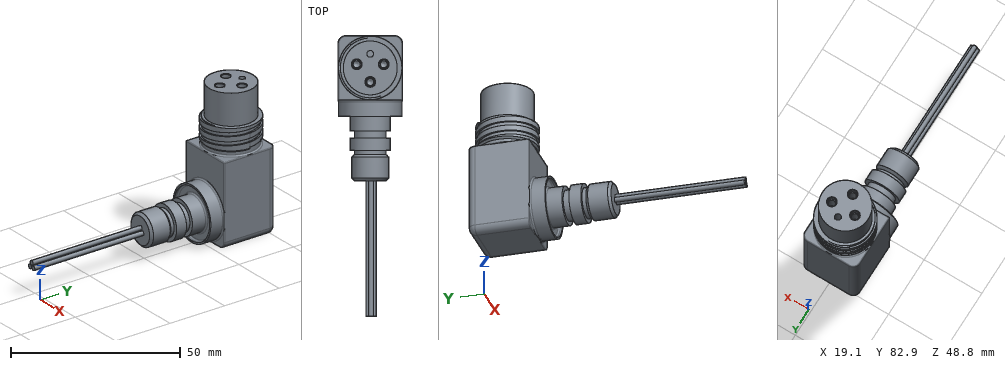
import cadquery as cq
import math


block_size = 19.05
block_height = 28.5
block_round = 2.3
block_edge_round = 0.25
half_block = block_size / 2

total_height = 48.8
thread_diameter = 18.8
thread_root_diameter = 17.65
thread_top = 37.95
thread_bottom = 30.0
thread_pitch = 3.0
thread_groove_width = 1.3
thread_start_height = 30.2
barrel_diameter = 15.9
base_fillet = 0.5

socket_circle_radius = 4.15
socket_angles = (15, 165, 270)
socket_mouth_diameter = 3.15
socket_diameter = 2.7
socket_depth = 1.65
contact_diameter = 2.1
contact_depth = 6.6
drill_tip_angle = 118
key_diameter = 2.0
key_depth = 6.6

exit_height = half_block
flange_diameter = 18.8
flange_length = 4.8
recess_diameter = 17.65
recess_depth = 1.1
recess_fillet = 0.5
neck_diameter = 11.9
neck_groove_diameter = 9.4
tip_diameter = 11.0
tip_chamfer = 0.8
neck_length = 4.2
neck_groove_length = 2.15
band_length = 3.65
rear_groove_length = 1.2
gland_length = 23.8

wire_diameter = 1.5
wire_spacing = 1.65
wire_offset = 0.25
total_length = 82.85
overlap = 0.8


def make_block():
    block = cq.Workplane("XY").box(block_size, block_size, block_height, centered=(True, True, False))
    block = block.edges("(>Y and |Z) or (<Z and |Y) or (<Z and >Y)").fillet(block_round)
    return block.faces(">Z or <Y").edges().fillet(block_edge_round)


def make_barrel():
    """Threaded collar with a filleted foot, carrying the plain barrel."""
    root_radius = thread_root_diameter / 2
    profile = (
        cq.Workplane("XZ")
        .moveTo(0, block_height - overlap)
        .lineTo(root_radius + base_fillet, block_height - overlap)
        .lineTo(root_radius + base_fillet, block_height)
        .radiusArc((root_radius, block_height + base_fillet), base_fillet)
        .lineTo(root_radius, thread_top)
        .lineTo(barrel_diameter / 2, thread_top)
        .lineTo(barrel_diameter / 2, total_height)
        .lineTo(0, total_height)
        .close()
    )
    core = profile.revolve(360, (0, 0, 0), (0, 1, 0))
    return core.union(make_thread())


def make_thread():
    """Right-handed thread: a ring, bevelled below, cut by a helical groove deeper than the thread root."""
    root_radius = thread_root_diameter / 2
    crest_radius = thread_diameter / 2
    inner_radius = root_radius - 2 * overlap
    ring_profile = (
        cq.Workplane("XZ")
        .moveTo(inner_radius, thread_bottom)
        .lineTo(root_radius, thread_bottom)
        .lineTo(crest_radius, thread_bottom + crest_radius - root_radius)
        .lineTo(crest_radius, thread_top)
        .lineTo(inner_radius, thread_top)
        .close()
    )
    ring = ring_profile.revolve(360, (0, 0, 0), (0, 1, 0))
    groove_floor = root_radius - overlap
    groove_depth = crest_radius + overlap - groove_floor
    helix = cq.Wire.makeHelix(thread_pitch, thread_pitch, groove_floor)
    groove_turn = (
        cq.Workplane("XZ")
        .center(groove_floor + groove_depth / 2, 0)
        .rect(groove_depth, thread_groove_width)
        .sweep(cq.Workplane(helix), isFrenet=True)
    )
    turns = math.ceil((thread_top + thread_groove_width - thread_start_height) / thread_pitch)
    for turn in range(turns):
        ring = ring.cut(groove_turn.translate((0, 0, thread_start_height + turn * thread_pitch)))
    return ring


def make_socket():
    """Stepped contact hole with a chamfered mouth and a drilled tip, mouth centred at the origin."""
    socket_radius = socket_diameter / 2
    mouth_radius = socket_mouth_diameter / 2
    contact_radius = contact_diameter / 2
    tip_height = contact_radius / math.tan(math.radians(drill_tip_angle / 2))
    profile = (
        cq.Workplane("XZ")
        .moveTo(0, 0)
        .lineTo(mouth_radius, 0)
        .lineTo(socket_radius, socket_radius - mouth_radius)
        .lineTo(socket_radius, -socket_depth)
        .lineTo(contact_radius, -socket_depth)
        .lineTo(contact_radius, -contact_depth)
        .lineTo(0, -contact_depth - tip_height)
        .close()
    )
    return profile.revolve(360, (0, 0, 0), (0, 1, 0))


def make_flange():
    """Recessed flange with a filleted foot, trimmed to the width and underside of the block."""
    radius = flange_diameter / 2
    front = half_block + flange_length
    back = half_block - overlap
    recess_floor = front - recess_depth
    recess_radius = recess_diameter / 2
    neck_radius = neck_diameter / 2
    profile = (
        cq.Workplane("XY")
        .moveTo(0, -back)
        .lineTo(radius + base_fillet, -back)
        .lineTo(radius + base_fillet, -half_block)
        .radiusArc((radius, -half_block - base_fillet), -base_fillet)
        .lineTo(radius, -front)
        .lineTo(recess_radius, -front)
        .lineTo(recess_radius, -recess_floor - recess_fillet)
        .radiusArc((recess_radius - recess_fillet, -recess_floor), -recess_fillet)
        .lineTo(neck_radius + recess_fillet, -recess_floor)
        .radiusArc((neck_radius, -recess_floor - recess_fillet), -recess_fillet)
        .lineTo(0, -recess_floor - recess_fillet)
        .close()
    )
    flange = profile.revolve(360, (0, 0, 0), (0, 1, 0)).translate((0, 0, exit_height))
    trim = (
        cq.Workplane("XY")
        .box(block_size, total_length, block_height, centered=(True, True, False))
        .edges("|Y and <Z")
        .fillet(block_round)
    )
    return flange.intersect(trim)


def exit_cylinder(diameter, start, end):
    """Cylinder on the exit axis between two distances in front of the block face."""
    return (
        cq.Workplane("XZ", origin=(0, -half_block - start, exit_height))
        .circle(diameter / 2)
        .extrude(end - start)
    )


def make_gland():
    neck_end = flange_length + neck_length
    band_start = neck_end + neck_groove_length
    band_end = band_start + band_length
    tip_start = band_end + rear_groove_length
    gland = exit_cylinder(neck_groove_diameter, -overlap, gland_length)
    gland = gland.union(exit_cylinder(neck_diameter, -overlap, neck_end))
    gland = gland.union(exit_cylinder(neck_diameter, band_start, band_end))
    tip = exit_cylinder(tip_diameter, tip_start, gland_length).edges().chamfer(tip_chamfer)
    return gland.union(tip)


def make_wires():
    """Three wires in a triangle with one on top."""
    start = half_block + gland_length - overlap
    end = total_length - half_block
    return (
        cq.Workplane("XZ", origin=(wire_offset, -start, exit_height))
        .polarArray(wire_spacing / math.sqrt(3), 90, 360, 3)
        .circle(wire_diameter / 2)
        .extrude(end - start)
    )


barrel = make_barrel()
for angle in socket_angles:
    socket_x = socket_circle_radius * math.cos(math.radians(angle))
    socket_y = socket_circle_radius * math.sin(math.radians(angle))
    barrel = barrel.cut(make_socket().translate((socket_x, socket_y, total_height)))
key_hole = (
    cq.Workplane("XY", origin=(0, socket_circle_radius, total_height))
    .circle(key_diameter / 2)
    .extrude(-key_depth)
)
barrel = barrel.cut(key_hole)

result = make_block().union(barrel).union(make_flange()).union(make_gland()).union(make_wires())